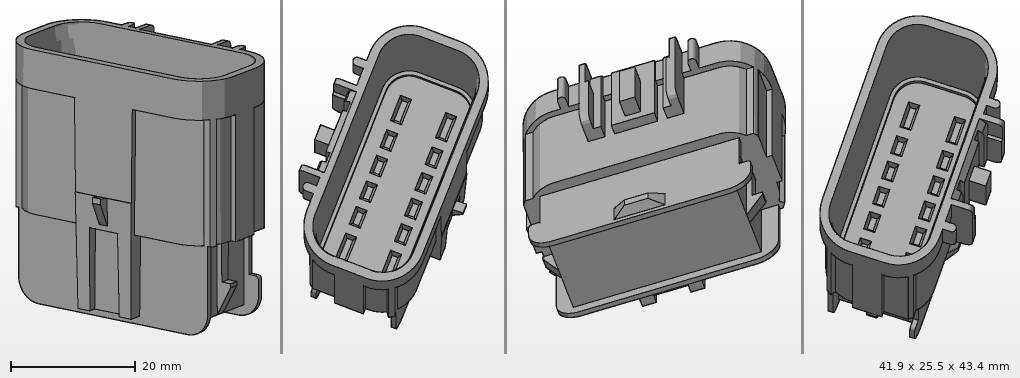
import cadquery as cq

height = 43.4
overlap = 0.5

rim_length = 41.86
rim_width = 20.0
rim_radius = 7.0
rim_bottom = 36.85
skirt_bottom = 15.5
skirt_step = 0.95
skirt_length = rim_length - 2 * skirt_step
skirt_width = rim_width - 2 * skirt_step
skirt_radius = 6.0
end_rib_half_width = 2.5

plate_length = 37.8
flange_length = 40.04
backing_length = 38.3
backing_y = 5.85
squared_rear_y = 6.65
plate_outer_y = 7.35
plate_inner_y = 6.5
plate_radius = 4.0
rear_plate_narrow_length = 33.9
rear_tab_top = 7.2
rear_tab_radius = 0.7
core_length = 32.0
core_bottom = 1.95

end_guide_x = rear_plate_narrow_length / 2
end_guide_half_top = 0.95
end_guide_half_bottom = 0.78
end_latch_tip_x = 18.7
end_latch_edge = 6.98
end_latch_top = 7.66

rail_bottom = 1.45
rail_crest_z = 21.06
rail_crest_y = 10.08
rail_bottom_y = 9.68
rail_half_top = 5.78
rail_half_bottom = 5.31
rail_groove_y = 8.35
rail_groove_half_top = 2.79
rail_groove_half_bottom = 2.94

front_latch_tip_y = 11.88
front_latch_half_width = 0.8
front_latch_bottom = 16.4
front_latch_edge = 20.4
front_latch_top = 21.4
front_latch_root_top = 21.05

fin_inner_x = 7.15
fin_outer_x = 8.15
fin_tip_y = 13.57
fin_bottom = 25.45
rear_root_y = skirt_width / 2 - overlap
fin_top_radius = 1.0
fin_bottom_radius = 1.7
lip_inner_x = 6.6
lip_top = rim_bottom
small_rib_positions = (-10.33, 11.84)
small_rib_width = 1.4
small_rib_tip_y = 12.05
notch_y = 9.62
center_ramp_half = 3.66
center_ramp_y = 10.7
side_ramp_inner_x = 5.3
side_ramp_y = 11.07
side_ramp_edge_y = 10.75
side_ramp_steep_drop = 1.0
center_block_half = 1.31

bump_half_width = 5.0
bump_tip_half_width = 2.0
bump_bottom = 0.8
bump_top = 5.0
bump_tip_y = 9.08
bump_tip_bottom = 1.5
bump_tip_top = 3.2

opening_length = 38.8
opening_width = 17.0
opening_radius = 5.25
lip_z = 43.0
steep_taper_inset = 0.4
steep_taper_end_z = 40.8
wall_inset = 0.6
wall_top_z = 37.5
ledge_z = 18.5
floor_inset = 1.25
floor_z = 17.5

slot_row_y = 3.9
slot_width = 1.9
slot_pitch = 4.53
small_slot_length = 3.12
small_slots_per_row = 4
end_slot_x = 12.18
end_slot_length = 4.47
slot_end_slope = 0.5
slot_side_slope = 0.45
slot_depth = 1.0


def rounded_block(length, width, radius, bottom, top):
    block = cq.Workplane("XY").workplane(offset=bottom).rect(length, width).extrude(top - bottom)
    return block.edges("|Z").fillet(radius)


def box(x0, x1, y0, y1, z0, z1):
    return cq.Workplane("XY").box(x1 - x0, y1 - y0, z1 - z0, centered=False).translate((x0, y0, z0))


def centered_box(length, y0, y1, z0, z1):
    return box(-length / 2, length / 2, y0, y1, z0, z1)


def x_prism(points, x0, x1):
    """Extrude a YZ outline from x0 to x1."""
    return cq.Workplane("YZ").workplane(offset=x0).polyline(points).close().extrude(x1 - x0)


def y_prism(points, y0, y1):
    """Extrude an XZ outline from y0 to y1."""
    return cq.Workplane("XZ").workplane(offset=-y1).polyline(points).close().extrude(y1 - y0)


def both_ends(shape):
    return shape.union(shape.mirror("YZ"))


def make_skirt():
    skirt = rounded_block(skirt_length, skirt_width, skirt_radius, skirt_bottom, rim_bottom)
    skirt = skirt.union(
        centered_box(rim_length, -end_rib_half_width, end_rib_half_width, skirt_bottom, rim_bottom)
    )
    squared_rear = centered_box(skirt_length, 0, squared_rear_y, skirt_bottom, rim_bottom)
    return skirt.union(squared_rear).union(make_skirt_flanges())


def make_skirt_flanges():
    """Continue both plates up to the rim; their ends follow the rounded rim outline."""
    envelope = rounded_block(rim_length, rim_width, rim_radius, skirt_bottom, rim_bottom)
    front = centered_box(rim_length, -plate_outer_y, -plate_inner_y, skirt_bottom, rim_bottom)
    rear = centered_box(rim_length, squared_rear_y, plate_outer_y, skirt_bottom, rim_bottom)
    backing = (
        cq.Workplane("XY")
        .workplane(offset=skirt_bottom)
        .polyline([
            (-flange_length / 2, -plate_inner_y),
            (flange_length / 2, -plate_inner_y),
            (backing_length / 2, -backing_y),
            (-backing_length / 2, -backing_y),
        ])
        .close()
        .extrude(rim_bottom - skirt_bottom)
    )
    return envelope.intersect(front.union(rear).union(backing))


def make_front_plate():
    plate = centered_box(plate_length, -plate_outer_y, -plate_inner_y, 0, rim_bottom)
    return plate.edges("|Y and <Z").fillet(plate_radius)


def make_rear_plate():
    tab = centered_box(plate_length, plate_inner_y, plate_outer_y, 0, rear_tab_top)
    tab = tab.edges("|Y and >Z").fillet(rear_tab_radius)
    tab = tab.edges("|Y and <Z").fillet(plate_radius)
    web = centered_box(
        rear_plate_narrow_length, plate_inner_y, plate_outer_y, rear_tab_top - overlap, skirt_bottom
    )
    return tab.union(web)


def make_core():
    core = centered_box(core_length, -plate_inner_y, plate_inner_y, core_bottom, skirt_bottom)
    guide = (
        cq.Workplane("YZ")
        .polyline([
            (-end_guide_half_top, skirt_bottom),
            (end_guide_half_top, skirt_bottom),
            (end_guide_half_bottom, core_bottom),
            (-end_guide_half_bottom, core_bottom),
        ])
        .close()
        .extrude(end_latch_tip_x, both=True)
    )
    latch = y_prism(
        [
            (0, core_bottom),
            (core_length / 2, core_bottom),
            (end_latch_tip_x, end_latch_edge),
            (end_latch_tip_x, end_latch_top),
            (end_guide_x, end_latch_top),
            (end_guide_x, skirt_bottom),
            (0, skirt_bottom),
        ],
        -end_guide_half_top,
        end_guide_half_top,
    )
    return core.union(both_ends(latch).intersect(guide))


def make_front_rail():
    side = x_prism(
        [
            (-rim_width / 2, rim_bottom),
            (-rim_width / 2, rail_crest_z),
            (-rail_crest_y, rail_crest_z),
            (-rail_bottom_y, rail_bottom),
            (-plate_inner_y, rail_bottom),
            (-plate_inner_y, rim_bottom),
        ],
        -rail_half_top,
        rail_half_top,
    )
    outline = y_prism(
        [
            (-rail_half_top, rim_bottom),
            (rail_half_top, rim_bottom),
            (rail_half_bottom, rail_bottom),
            (-rail_half_bottom, rail_bottom),
        ],
        -front_latch_tip_y,
        0,
    )
    groove = y_prism(
        [
            (-rail_groove_half_top, skirt_bottom),
            (rail_groove_half_top, skirt_bottom),
            (rail_groove_half_bottom, rail_bottom),
            (-rail_groove_half_bottom, rail_bottom),
        ],
        -front_latch_tip_y,
        -rail_groove_y,
    )
    root_y = rail_crest_y - overlap
    latch = x_prism(
        [
            (-root_y, front_latch_bottom),
            (-rim_width / 2, front_latch_bottom),
            (-front_latch_tip_y, front_latch_edge),
            (-front_latch_tip_y, front_latch_top),
            (-rail_crest_y, front_latch_root_top),
            (-root_y, front_latch_root_top),
        ],
        -front_latch_half_width,
        front_latch_half_width,
    )
    return side.intersect(outline).cut(groove).union(latch)


def make_fin():
    fin = box(fin_inner_x, fin_outer_x, rear_root_y, fin_tip_y, fin_bottom, height)
    lip = box(lip_inner_x, fin_inner_x, rear_root_y, fin_tip_y, fin_bottom, lip_top)
    lip = lip.edges("|X and >Y and <Z").fillet(fin_bottom_radius)
    fin = fin.edges("|X and >Y and >Z").fillet(fin_top_radius)
    fin = fin.edges("|X and >Y and <Z").fillet(fin_bottom_radius)
    return fin.union(lip)


def make_small_rib(x):
    radius = small_rib_width / 2
    shaft_end = small_rib_tip_y - radius
    return (
        cq.Workplane("XY")
        .workplane(offset=rim_bottom)
        .moveTo(x - radius, rim_width / 2 - overlap)
        .lineTo(x - radius, shaft_end)
        .threePointArc((x, small_rib_tip_y), (x + radius, shaft_end))
        .lineTo(x + radius, rim_width / 2 - overlap)
        .close()
        .extrude(height - rim_bottom)
    )


def make_rear_lock():
    """Lock parts on the rear face; the ramp tops fall away at 45 degrees."""
    center_ramp = x_prism(
        [
            (rear_root_y, fin_bottom),
            (center_ramp_y, fin_bottom),
            (center_ramp_y, height - (center_ramp_y - notch_y)),
            (notch_y, height),
            (rear_root_y, height),
        ],
        -center_ramp_half,
        center_ramp_half,
    )
    center_block = centered_box(
        2 * center_block_half, center_ramp_y - overlap, fin_tip_y, fin_bottom + fin_bottom_radius, rim_bottom
    )
    side_edge_z = height - (side_ramp_edge_y - notch_y)
    side_ramp = x_prism(
        [
            (rear_root_y, fin_bottom),
            (side_ramp_y, fin_bottom),
            (side_ramp_y, side_edge_z - side_ramp_steep_drop),
            (side_ramp_edge_y, side_edge_z),
            (notch_y, height),
            (rear_root_y, height),
        ],
        side_ramp_inner_x,
        fin_inner_x,
    )
    one_side = side_ramp.union(make_fin())
    lock = center_ramp.union(center_block).union(both_ends(one_side))
    for x in small_rib_positions:
        lock = lock.union(make_small_rib(x))
    return lock


def make_rim():
    rim = rounded_block(rim_length, rim_width, rim_radius, rim_bottom, height)
    chamfer = rim_width / 2 - notch_y
    edge_cut = x_prism(
        [(notch_y, height), (rim_width / 2, height), (rim_width / 2, height - chamfer)],
        -fin_inner_x,
        fin_inner_x,
    )
    return rim.cut(edge_cut)


def make_rear_bump():
    base_y = plate_outer_y - overlap
    base_height = bump_top - bump_bottom
    tip_height = bump_tip_top - bump_tip_bottom
    base_mid = (bump_top + bump_bottom) / 2
    tip_mid = (bump_tip_top + bump_tip_bottom) / 2
    return (
        cq.Workplane("XZ", origin=(0, base_y, base_mid))
        .rect(2 * bump_half_width, base_height)
        .workplane(offset=base_y - bump_tip_y)
        .center(0, tip_mid - base_mid)
        .rect(2 * bump_tip_half_width, tip_height)
        .loft(ruled=True)
    )


def cavity_outline(inset, z):
    outline = cq.Sketch().rect(opening_length - 2 * inset, opening_width - 2 * inset)
    outline = outline.vertices().fillet(opening_radius - inset)
    return outline.moved(cq.Location(cq.Vector(0, 0, z)))


def cavity_stage(bottom_inset, bottom_z, top_inset, top_z):
    bottom = cavity_outline(bottom_inset, bottom_z)
    top = cavity_outline(top_inset, top_z)
    return cq.Workplane("XY").placeSketch(bottom, top).loft(ruled=True)


def make_cavity():
    lip = cavity_stage(0, lip_z, 0, height)
    steep_taper = cavity_stage(steep_taper_inset, steep_taper_end_z, 0, lip_z)
    slight_taper = cavity_stage(wall_inset, wall_top_z, steep_taper_inset, steep_taper_end_z)
    walls = cavity_stage(wall_inset, ledge_z, wall_inset, wall_top_z)
    floor_recess = cavity_stage(floor_inset, floor_z, floor_inset, ledge_z)
    return lip.union(steep_taper).union(slight_taper).union(walls).union(floor_recess)


def make_slot(x, y, length):
    return (
        cq.Workplane("XY", origin=(x, y, floor_z))
        .rect(length, slot_width)
        .workplane(offset=-slot_depth)
        .rect(length - 2 * slot_end_slope, slot_width - 2 * slot_side_slope)
        .loft(ruled=True)
    )


def make_slots():
    slots = cq.Workplane("XY")
    for y in (-slot_row_y, slot_row_y):
        for side in (-1, 1):
            slots = slots.add(make_slot(side * end_slot_x, y, end_slot_length))
        for index in range(small_slots_per_row):
            x = (index - (small_slots_per_row - 1) / 2) * slot_pitch
            slots = slots.add(make_slot(x, y, small_slot_length))
    return slots.combine()


body = make_rim()
for feature in (
    make_skirt(),
    make_core(),
    make_front_plate(),
    make_rear_plate(),
    make_front_rail(),
    make_rear_lock(),
    make_rear_bump(),
):
    body = body.union(feature)

result = body.cut(make_cavity()).cut(make_slots())